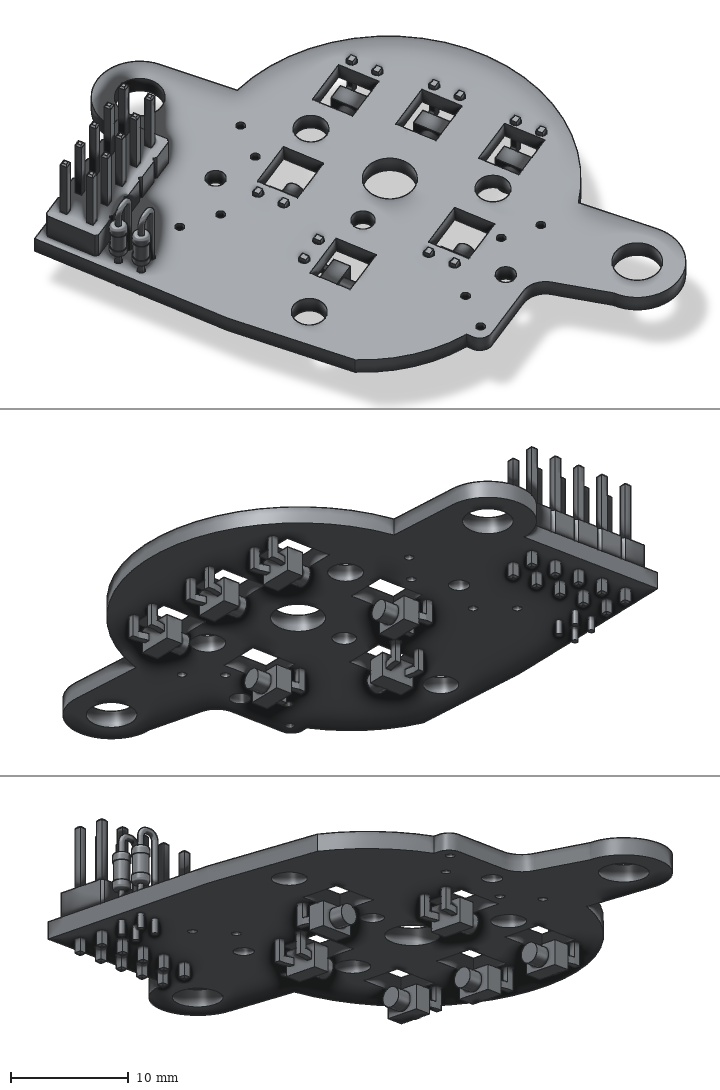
import cadquery as cq
import math


board_thickness = 1.6
ear_radius = 4.15
ear_hole_diameter = 4.3
left_ear = (-23.1, -2.2)
right_ear = (23.0, 1.9)
edge_slope = 0.09
dome_radius = 16.4
lower_arc_radius = 14.85
neck_radius = 2.2
lug_radius = 1.2
bottom_y = -20.75
right_edge_x = 16.2
lug_bottom_y = -12.45

round_holes = [
    (4.7, [(0, 0)]),
    (ear_hole_diameter, [left_ear, right_ear]),
    (3.05, [(-8.65, 1.75), (8.2, 3.25), (1.45, -16.7)]),
    (2.05, [(0.3, -5.3)]),
    (1.8, [(-12.95, -7.2), (14.0, -4.85)]),
    (0.8, [(-14.05, -0.85), (-11.2, -3.4), (-10.55, -10.6), (-12.9, -13.55),
           (13.8, 1.6), (11.6, -1.35), (12.2, -8.65), (15.0, -11.1)]),
]

switches = [
    (-90, (-8.15, 10.25), (-8.2, 7.0)),
    (-90, (-0.65, 11.15), (-0.65, 8.0)),
    (-90, (7.4, 10.95), (7.4, 8.0)),
    (90, (-7.7, -6.9), (-7.7, -3.5)),
    (90, (8.3, -5.9), (8.4, -2.5)),
    (0, (-1.85, -10.4), (1.3, -10.5)),
]
window_x = 3.9
window_y = 4.55
switch_width = 3.3
switch_depth = 1.65
switch_height = 2.3
switch_gap = 0.55
button_diameter = 1.85
button_length = 1.4
switch_pin_pitch = 2.5
switch_pin_width = 0.55
switch_pin_thickness = 0.65
switch_pin_setback = 1.25
switch_root_inset = 0.2
switch_pin_rise = 0.3
switch_hole_diameter = 1.0

header_centre = (-19.85, -13.65)
header_columns = 2
header_rows = 5
header_pitch = 2.54
header_height = 2.6
header_chamfer = 0.245
header_pin_width = 0.65
header_pin_chamfer = 0.15
header_pin_rise = 8.7
header_pin_drop = 1.35
header_hole_diameter = 1.0

resistor_xs = [-15.55, -13.35]
resistor_y = -19.5
lead_diameter = 0.55
lead_spacing = 1.75
lead_drop = 1.3
lead_hole_diameter = 0.7
bend_radius = 0.7
bend_start = 5.55
resistor_bottom = 1.15
cap_length = 0.8
cap_diameter = 1.6
cap_fillet = 0.3
core_length = 1.8
core_diameter = 1.4

header_spots = [
    (
        header_centre[0] + (column - (header_columns - 1) / 2) * header_pitch,
        header_centre[1] + (row - (header_rows - 1) / 2) * header_pitch,
    )
    for column in range(header_columns)
    for row in range(header_rows)
]
lead_spots = [(x, y) for x in resistor_xs for y in (resistor_y, resistor_y + lead_spacing)]
switch_body_z = -switch_gap - switch_height / 2


def ear_top(centre):
    """Point of an ear's upper side where the tilted edge meets it tangentially."""
    angle = math.pi / 2 + math.atan(edge_slope)
    return (centre[0] + ear_radius * math.cos(angle), centre[1] + ear_radius * math.sin(angle))


def placed(shape, angle, spot):
    """Turn a shape about Z from pushing along +X to the given angle, then move it to its spot."""
    return shape.rotate((0, 0, 0), (0, 0, 1), angle).translate((spot[0], spot[1], 0))


def board_blank():
    left_edge_x = -22.9
    ear_end_y = left_ear[1] - math.sqrt(ear_radius**2 - (left_edge_x - left_ear[0]) ** 2)
    return (
        cq.Workplane("XY")
        .moveTo(-23.0, bottom_y)
        .lineTo(left_edge_x, -7.4)
        .lineTo(left_edge_x, ear_end_y)
        .threePointArc((left_ear[0] - ear_radius, left_ear[1]), ear_top(left_ear))
        .lineTo(-16.25, 2.55)
        .radiusArc((15.35, 5.4), dome_radius)
        .lineTo(*ear_top(right_ear))
        .threePointArc(
            (right_ear[0] + ear_radius, right_ear[1]), (right_ear[0], right_ear[1] - ear_radius)
        )
        .lineTo(17.85, -3.7)
        .radiusArc((right_edge_x, -5.8), -neck_radius)
        .lineTo(right_edge_x, lug_bottom_y + lug_radius)
        .radiusArc((right_edge_x - lug_radius, lug_bottom_y), lug_radius)
        .lineTo(14.4, lug_bottom_y)
        .radiusArc((7.55, -19.65), lower_arc_radius)
        .lineTo(-4.25, bottom_y)
        .close()
        .extrude(board_thickness)
    )


def drilled(plate, diameter, spots):
    drills = cq.Workplane("XY").pushPoints(spots).circle(diameter / 2).extrude(board_thickness)
    return plate.cut(drills)


def make_board():
    plate = board_blank()
    for diameter, spots in round_holes:
        plate = drilled(plate, diameter, spots)
    plate = drilled(plate, header_hole_diameter, header_spots)
    plate = drilled(plate, lead_hole_diameter, lead_spots)
    for angle, spot, window_centre in switches:
        window = (
            cq.Workplane("XY")
            .center(*window_centre)
            .rect(window_x, window_y)
            .extrude(board_thickness)
        )
        pin_holes = (
            cq.Workplane("XY")
            .pushPoints([(0, -switch_pin_pitch / 2), (0, switch_pin_pitch / 2)])
            .circle(switch_hole_diameter / 2)
            .extrude(board_thickness)
        )
        plate = plate.cut(window).cut(placed(pin_holes, angle, spot))
    return plate


def switch_pin(side):
    """Upright pin with a slanting foot into the back of the switch; side is +1 or -1 along Y."""
    foot_z = switch_body_z - switch_pin_thickness / 2
    pin_top = board_thickness + switch_pin_rise
    pin_y = side * switch_pin_pitch / 2
    root_y = pin_y - side * switch_root_inset
    half = switch_pin_width / 2
    pin_front = switch_pin_thickness / 2
    upright = (
        cq.Workplane("XY", origin=(0, pin_y, foot_z))
        .rect(switch_pin_thickness, switch_pin_width)
        .extrude(pin_top - foot_z)
    )
    foot = (
        cq.Workplane("XY", origin=(0, 0, foot_z))
        .polyline([
            (pin_front, pin_y - half),
            (switch_pin_setback, root_y - half),
            (switch_pin_setback, root_y + half),
            (pin_front, pin_y + half),
        ])
        .close()
        .extrude(switch_pin_thickness)
    )
    return upright.union(foot)


def make_switch(angle, spot):
    body = (
        cq.Workplane("XY", origin=(switch_pin_setback + switch_depth / 2, 0, switch_body_z))
        .box(switch_depth, switch_width, switch_height)
    )
    button = (
        cq.Workplane("YZ", origin=(switch_pin_setback + switch_depth, 0, switch_body_z))
        .circle(button_diameter / 2)
        .extrude(button_length)
    )
    switch = body.union(button).union(switch_pin(1)).union(switch_pin(-1))
    return placed(switch, angle, spot)


def make_header():
    pin_length = header_pin_drop + board_thickness + header_pin_rise
    header = None
    for x, y in header_spots:
        pin = (
            cq.Workplane("XY", origin=(x, y, -header_pin_drop))
            .rect(header_pin_width, header_pin_width)
            .extrude(pin_length)
            .faces("<Z or >Z")
            .chamfer(header_pin_chamfer)
        )
        header = pin if header is None else header.union(pin)
    for row in range(header_rows):
        row_y = header_centre[1] + (row - (header_rows - 1) / 2) * header_pitch
        block = (
            cq.Workplane("XY", origin=(header_centre[0], row_y, board_thickness))
            .rect(header_columns * header_pitch, header_pitch)
            .extrude(header_height)
            .edges("|Z")
            .chamfer(header_chamfer)
        )
        header = header.union(block)
    return header


def resistor_cap(bottom, rounded_face):
    return (
        cq.Workplane("XY", origin=(0, 0, bottom))
        .circle(cap_diameter / 2)
        .extrude(cap_length)
        .faces(rounded_face)
        .edges()
        .fillet(cap_fillet)
    )


def make_resistor(x):
    bend_z = board_thickness + bend_start
    bend_top = bend_z + bend_radius
    far_bend_y = lead_spacing - bend_radius
    lead_path = (
        cq.Workplane("YZ")
        .moveTo(0, -lead_drop)
        .lineTo(0, bend_z)
        .radiusArc((bend_radius, bend_top), bend_radius)
        .lineTo(far_bend_y, bend_top)
        .radiusArc((lead_spacing, bend_z), bend_radius)
        .lineTo(lead_spacing, -lead_drop)
    )
    lead = (
        cq.Workplane("XY", origin=(0, 0, -lead_drop))
        .circle(lead_diameter / 2)
        .sweep(lead_path)
    )
    cap_z = board_thickness + resistor_bottom
    core_z = cap_z + cap_length
    core = (
        cq.Workplane("XY", origin=(0, 0, core_z))
        .circle(core_diameter / 2)
        .extrude(core_length)
    )
    resistor = (
        core.union(resistor_cap(cap_z, "<Z"))
        .union(resistor_cap(core_z + core_length, ">Z"))
        .union(lead)
    )
    return resistor.translate((x, resistor_y, 0))


board = make_board()
header = make_header()
resistors = [make_resistor(x) for x in resistor_xs]
push_switches = [make_switch(angle, spot) for angle, spot, _ in switches]

result = cq.Compound.makeCompound([
    board.val(),
    header.val(),
    *[resistor.val() for resistor in resistors],
    *[switch.val() for switch in push_switches],
])